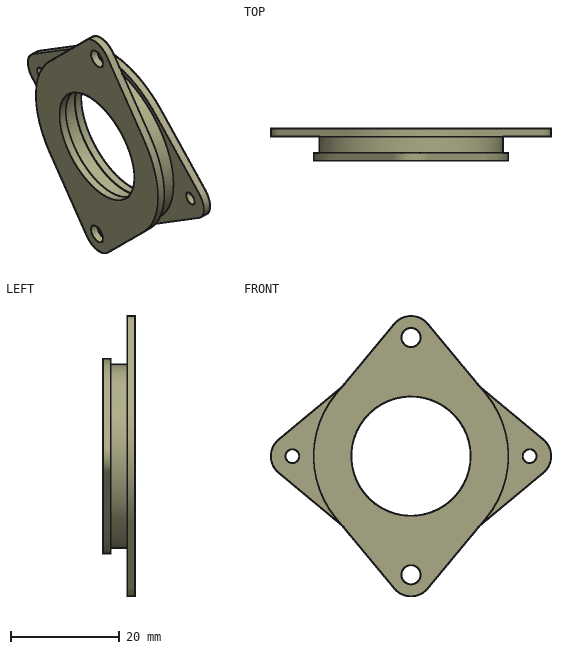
import cadquery as cq
import math

front_bore_diameter = 22.0
hub_bore_diameter = 24.2
rear_bore_diameter = 24.0
hub_diameter = 34.0
flange_diameter = 36.0
flange_thickness = 1.5
overall_depth = 6.0
bolt_square_side = 31.0
ear_radius = 4.0
front_hole_diameter = 3.5
rear_hole_diameter = 2.5

hole_offset = bolt_square_side / math.sqrt(2)
front_y = -overall_depth / 2
rear_flange_y = overall_depth / 2 - flange_thickness
hub_y = front_y + flange_thickness
hub_length = rear_flange_y - hub_y


def plane_at(y):
    """Sketch plane at depth y: local x is X, local y is -Z, extrusion goes toward +Y."""
    return cq.Workplane(cq.Plane(origin=(0, y, 0), xDir=(1, 0, 0), normal=(0, 1, 0)))


def eared_flange(y, hole_diameter):
    """Disc with two opposite ears along X, joined by lines tangent to disc and ear tips."""
    disc_radius = flange_diameter / 2
    tangent_cos = (disc_radius - ear_radius) / hole_offset
    tangent_sin = math.sqrt(1 - tangent_cos**2)
    disc_x = disc_radius * tangent_cos
    disc_z = disc_radius * tangent_sin
    tip_x = hole_offset + ear_radius * tangent_cos
    tip_z = ear_radius * tangent_sin
    ear_end = hole_offset + ear_radius

    return (
        plane_at(y)
        .moveTo(disc_x, disc_z)
        .lineTo(tip_x, tip_z)
        .threePointArc((ear_end, 0), (tip_x, -tip_z))
        .lineTo(disc_x, -disc_z)
        .threePointArc((0, -disc_radius), (-disc_x, -disc_z))
        .lineTo(-tip_x, -tip_z)
        .threePointArc((-ear_end, 0), (-tip_x, tip_z))
        .lineTo(-disc_x, disc_z)
        .threePointArc((0, disc_radius), (disc_x, disc_z))
        .close()
        .extrude(flange_thickness)
        .cut(
            plane_at(y)
            .pushPoints([(-hole_offset, 0), (hole_offset, 0)])
            .circle(hole_diameter / 2)
            .extrude(flange_thickness)
        )
    )


def bore_cut(y, length, diameter):
    """Cylinder along Y that opens one stretch of the stepped bore."""
    return plane_at(y).circle(diameter / 2).extrude(length)


front_flange = eared_flange(front_y, front_hole_diameter).rotate((0, 0, 0), (0, 1, 0), 90)
rear_flange = eared_flange(rear_flange_y, rear_hole_diameter)
hub = plane_at(hub_y).circle(hub_diameter / 2).extrude(hub_length)
front_bore = bore_cut(front_y, flange_thickness, front_bore_diameter)
hub_bore = bore_cut(hub_y, hub_length, hub_bore_diameter)
rear_bore = bore_cut(rear_flange_y, flange_thickness, rear_bore_diameter)

result = (
    front_flange.union(hub)
    .union(rear_flange)
    .cut(front_bore)
    .cut(hub_bore)
    .cut(rear_bore)
)